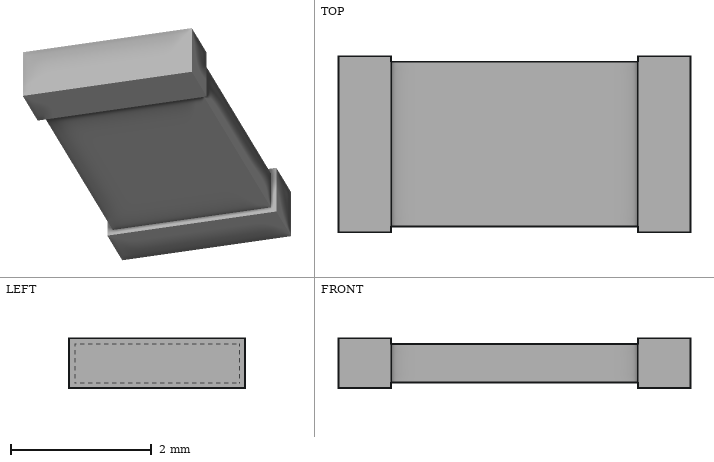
import cadquery as cq

length = 5.0
width = 2.5
height = 0.71

terminal_length = 0.75
terminal_overhang = 0.08

body_length = length - 2 * terminal_length
body_width = width - 2 * terminal_overhang
body_height = height - 2 * terminal_overhang


def make_body():
    """Plain rectangular block between the two terminals."""
    return cq.Workplane("XY").box(body_length, body_width, body_height)


def make_terminal(side):
    """Rectangular end block; side is -1 for the -X end and +1 for the +X end."""
    center_x = side * (length - terminal_length) / 2
    return cq.Workplane("XY").box(terminal_length, width, height).translate((center_x, 0, 0))


body = make_body()
terminals = [make_terminal(side) for side in (-1, 1)]

result = cq.Compound.makeCompound([body.val(), *[terminal.val() for terminal in terminals]])